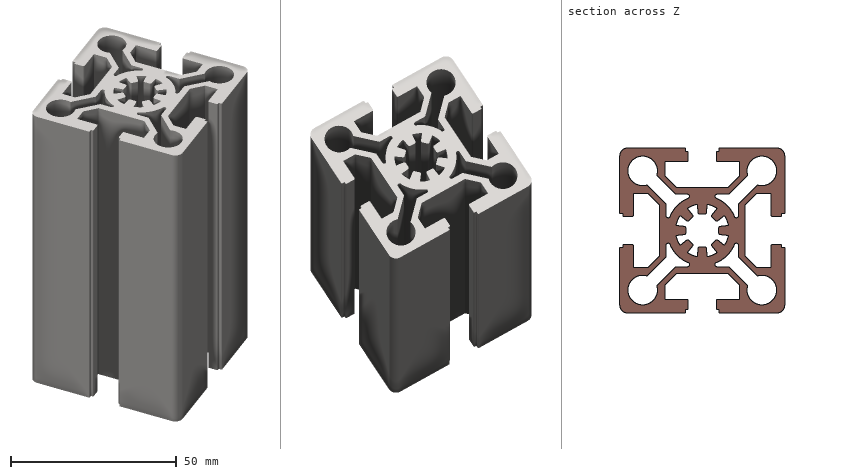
import cadquery as cq
import math

length = 100.0
side = 50.0
half = side / 2
corner_radius = 2.5

step_width = 10.0
step_depth = 1.0
opening_width = 8.4
lip_thickness = 4.3
slot_width = 22.3
slot_depth = 12.0
slot_chamfer = 3.5
mouth_edge_radius = 0.2
lip_outer_radius = 0.3
lip_inner_radius = 0.4

channel_radius = 4.4
channel_offset = 18.0
passage_width = 4.0
pocket_edge = 10.9
pocket_tip_radius = 0.6
pocket_tip_offset = 4.5

core_radius = 10.7
bore_radius = 8.0
tooth_tip_radius = 4.9
tooth_count = 8
tooth_root_width = 3.2
tooth_tip_width = 2.5
tooth_edge_radius = 0.5
tooth_root_overlap = 0.5


def make_bar():
    """Plain square bar with rounded long edges."""
    return cq.Workplane("XY").rect(side, side).extrude(length).edges("|Z").fillet(corner_radius)


def make_slot():
    """T-slot opening on the +Y side, with a stepped mouth and a chamfered floor."""
    mouth = half
    step = half - step_depth
    lip = half - lip_thickness
    floor = half - slot_depth
    right_side = [
        (step_width / 2, mouth),
        (step_width / 2, step),
        (opening_width / 2, step),
        (opening_width / 2, lip),
        (slot_width / 2, lip),
        (slot_width / 2, floor + slot_chamfer),
        (slot_width / 2 - slot_chamfer, floor),
    ]
    left_side = [(-x, y) for x, y in reversed(right_side)]
    return cq.Workplane("XY").polyline(right_side + left_side).close().extrude(length)


def make_corner_cavity():
    """Hollow of the +X +Y corner, symmetric about the diagonal."""
    channel = cq.Workplane("XY").center(channel_offset, channel_offset).circle(channel_radius).extrude(length)
    wall_shift = passage_width / math.sqrt(2)
    near_side = channel_offset - wall_shift / 2
    far_side = channel_offset + wall_shift / 2
    passage_end = pocket_edge - wall_shift
    passage = (
        cq.Workplane("XY")
        .moveTo(near_side, far_side)
        .lineTo(passage_end, pocket_edge)
        .lineTo(pocket_tip_offset, pocket_edge)
        .lineTo(pocket_tip_offset, pocket_tip_offset)
        .lineTo(pocket_edge, pocket_tip_offset)
        .lineTo(pocket_edge, passage_end)
        .lineTo(far_side, near_side)
        .close()
        .extrude(length)
    )
    core = cq.Workplane("XY").circle(core_radius).extrude(length)
    tip_depth = pocket_edge - pocket_tip_radius
    tips = (
        cq.Workplane("XY")
        .pushPoints([(pocket_tip_offset, tip_depth), (tip_depth, pocket_tip_offset)])
        .circle(pocket_tip_radius)
        .extrude(length)
    )
    return passage.cut(core).union(tips).union(channel)


def make_toothed_bore():
    """Round bore with tapered teeth left standing around it."""
    bore = cq.Workplane("XY").circle(bore_radius).extrude(length)
    taper = (tooth_root_width - tooth_tip_width) / (bore_radius - tooth_tip_radius)
    outer_radius = bore_radius + tooth_root_overlap
    outer_half_width = (tooth_root_width + taper * tooth_root_overlap) / 2
    tooth = (
        cq.Workplane("XY")
        .moveTo(tooth_tip_radius, -tooth_tip_width / 2)
        .lineTo(outer_radius, -outer_half_width)
        .lineTo(outer_radius, outer_half_width)
        .lineTo(tooth_tip_radius, tooth_tip_width / 2)
        .close()
        .extrude(length)
        .edges("|Z and <X")
        .fillet(tooth_edge_radius)
    )
    for index in range(tooth_count):
        bore = bore.cut(tooth.rotate((0, 0, 0), (0, 0, 1), index * 360 / tooth_count))
    return bore


def round_lip_corners(body, x, y, radius):
    """Round the long edge at (x, y) and its seven mirror copies on the other lips."""
    long_edges = body.edges("|Z")
    corners = []
    for x_sign in (-1, 1):
        for y_sign in (-1, 1):
            corners.append((x * x_sign, y * y_sign))
            corners.append((y * y_sign, x * x_sign))
    chosen = []
    for corner in corners:
        nearest = cq.selectors.NearestToPointSelector((*corner, length / 2))
        chosen.append(long_edges.edges(nearest).val())
    return body.newObject(chosen).fillet(radius)


body = make_bar().cut(make_toothed_bore())
slot = make_slot()
cavity = make_corner_cavity()
for quarter in range(4):
    for void in (slot, cavity):
        body = body.cut(void.rotate((0, 0, 0), (0, 0, 1), quarter * 90))

body = round_lip_corners(body, step_width / 2, half, mouth_edge_radius)
body = round_lip_corners(body, opening_width / 2, half - step_depth, lip_outer_radius)
result = round_lip_corners(body, opening_width / 2, half - lip_thickness, lip_inner_radius)